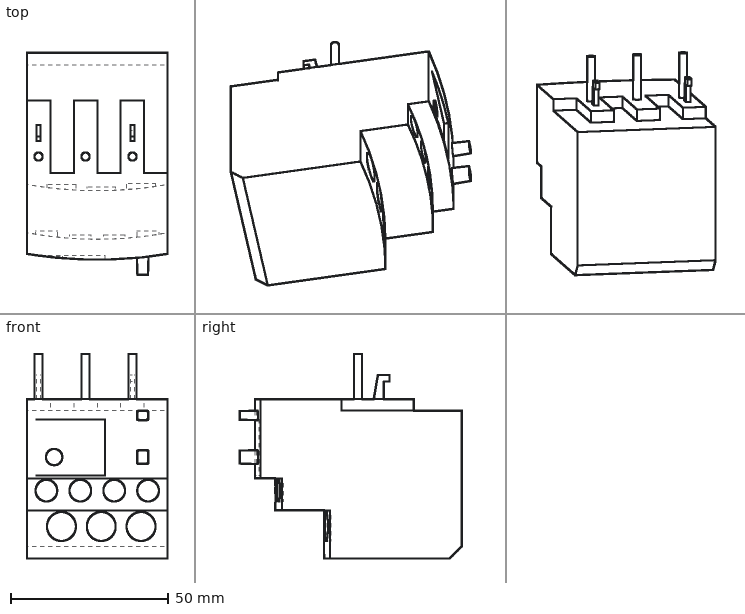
import cadquery as cq
import math


width = 44.8
total_depth = 70.57
total_height = 65.04
half_width = width / 2

lower_top = 15.3
middle_top = 25.5
rear_top = 47.0
housing_top = 50.7
rear_chamfer = 3.9

lower_front, lower_bow = 41.9, 1.95
middle_front, middle_bow = 57.2, 2.1
upper_front, upper_bow = 63.95, 1.85

pole_pitch = width / 3
finger_width = pole_pitch / 2
finger_back = 15.25
finger_front = 38.2
pole_xs = [-half_width + finger_width / 2 + i * pole_pitch for i in range(3)]

pin_radius = 1.3
pin_depth = 33.0

hook_thickness = 1.4
hook_top = 58.35
hook_lip_bottom = 56.25
hook_tip = 22.9
hook_rear = 24.75
hook_front_top = 26.7
hook_front_base = 28.0

window_left, window_right = -19.35, 2.45
window_bottom, window_top = 26.4, 44.2
dial_x, dial_z = -13.7, 32.25
dial_radius = 2.6
dial_height = 0.3

small_screw_radius = 3.45
small_screw_pitch = 10.77
small_screw_z = 21.6
small_screw_count = 4
large_screw_radius = 4.6
large_screw_pitch = 12.65
large_screw_z = 10.2
large_screw_count = 3
large_screw_row_x = 1.27
screw_recess_min_depth = 1.0

button_x = 14.45
button_width = 3.8
button_corner = 0.75
button_draft = 1.5
upper_button_z, upper_button_height = 45.5, 3.15
lower_button_z, lower_button_height = 32.25, 4.55


def box(x_min, x_max, depth_min, depth_max, z_min, z_max):
    """Axis-aligned block; depths are measured forward from the back face."""
    size = (x_max - x_min, depth_max - depth_min, z_max - z_min)
    return cq.Workplane("XY").box(*size, centered=False).translate((x_min, -depth_max, z_min))


def front_plane(depth):
    """Sketch plane facing the front at the given depth, with local x = X and y = Z."""
    return cq.Workplane("XZ", origin=(0, -depth, 0))


def tier(front, bow, z_min, z_max):
    """Full-width block whose front face is an arc bowed forward at the centre."""
    return (
        cq.Workplane("XY", origin=(0, 0, z_min))
        .moveTo(-half_width, 0)
        .lineTo(-half_width, -front)
        .threePointArc((0, -front - bow), (half_width, -front))
        .lineTo(half_width, 0)
        .close()
        .extrude(z_max - z_min)
    )


def bowed_depth(front, bow, x):
    """Depth of a bowed front face at a given X."""
    radius = (half_width**2 + bow**2) / (2 * bow)
    return front + bow - radius + math.sqrt(radius**2 - x**2)


def make_housing():
    housing = (
        tier(lower_front, lower_bow, 0, lower_top)
        .union(tier(middle_front, middle_bow, lower_top, middle_top))
        .union(tier(upper_front, upper_bow, middle_top, housing_top))
    )
    housing = housing.cut(box(-half_width, half_width, 0, finger_back, rear_top, housing_top))
    for x in pole_xs:
        gap_left = x + finger_width / 2
        gap = box(gap_left, gap_left + finger_width, finger_back, finger_front, rear_top, housing_top)
        housing = housing.cut(gap)
    return housing.faces(">Y").edges("<Z").chamfer(rear_chamfer)


def cut_window(housing):
    """Flat-floored window whose floor meets the bowed face at the left edge."""
    floor = bowed_depth(upper_front, upper_bow, window_left)
    window = box(window_left, window_right, floor, total_depth, window_bottom, window_top)
    dial = front_plane(floor).center(dial_x, dial_z).circle(dial_radius).extrude(dial_height)
    return housing.cut(window).union(dial)


def cut_screw_row(housing, front, bow, radius, pitch, count, row_x, z):
    """Flat-floored round recesses, each of minimum depth at its outermost edge."""
    for i in range(count):
        x = row_x + (i - (count - 1) / 2) * pitch
        floor = bowed_depth(front, bow, abs(x) + radius) - screw_recess_min_depth
        recess = front_plane(floor).center(x, z).circle(radius).extrude(2 * bow + screw_recess_min_depth)
        housing = housing.cut(recess)
    return housing


def make_pin(x):
    height = total_height - rear_top
    return cq.Workplane("XY", origin=(x, -pin_depth, rear_top)).circle(pin_radius).extrude(height)


def make_hook(x):
    outline = [
        (-hook_rear, housing_top),
        (-hook_rear, hook_lip_bottom),
        (-hook_tip, hook_lip_bottom),
        (-hook_tip, hook_top),
        (-hook_front_top, hook_top),
        (-hook_front_base, housing_top),
    ]
    return (
        cq.Workplane("YZ", origin=(x - hook_thickness / 2, 0, 0))
        .polyline(outline)
        .close()
        .extrude(hook_thickness)
    )


def make_button(z, height):
    """Drafted push button with rounded corners, rooted inside the front face."""
    profile = cq.Sketch().rect(button_width, height).vertices().fillet(button_corner)
    return (
        front_plane(upper_front)
        .center(button_x, z)
        .placeSketch(profile)
        .extrude(total_depth - upper_front, taper=button_draft)
    )


result = cut_window(make_housing())
result = cut_screw_row(
    result, middle_front, middle_bow,
    small_screw_radius, small_screw_pitch, small_screw_count, 0, small_screw_z,
)
result = cut_screw_row(
    result, lower_front, lower_bow,
    large_screw_radius, large_screw_pitch, large_screw_count, large_screw_row_x, large_screw_z,
)
for pole_x in pole_xs:
    result = result.union(make_pin(pole_x))
for pole_x in (pole_xs[0], pole_xs[-1]):
    result = result.union(make_hook(pole_x))
result = result.union(make_button(upper_button_z, upper_button_height))
result = result.union(make_button(lower_button_z, lower_button_height))